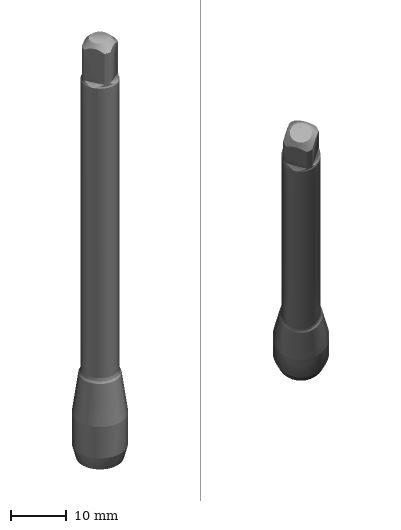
import cadquery as cq

total_length = 90.1

shank_radius = 7.0 / 2
drive_corner_radius = 6.72 / 2
drive_width = 5.5
drive_length = 8.0
drive_base_slope = 0.7
shank_edge_drop = 0.25
tip_radius = 4.0 / 2
tip_chamfer_height = drive_corner_radius - tip_radius

sleeve_radius = 10.15 / 2
sleeve_length = 19.1
sleeve_bottom_radius = 8.7 / 2
sleeve_bottom_height = 2.85
sleeve_barrel_top = 9.6
sleeve_taper_top = 18.1
sleeve_taper_top_radius = 7.8 / 2
sleeve_lip_height = 18.5
sleeve_lip_radius = 7.3 / 2
socket_floor = sleeve_bottom_height


def make_shank():
    """Round rod whose top end is milled to a square with rounded corners."""
    drive_base = total_length - drive_length
    shank_top = drive_base - drive_base_slope
    tip_base = total_length - tip_chamfer_height
    profile = (
        cq.Workplane("XZ")
        .polyline([
            (0, socket_floor),
            (shank_radius, socket_floor),
            (shank_radius, shank_top),
            (drive_corner_radius, shank_top + shank_edge_drop),
            (drive_corner_radius, tip_base),
            (tip_radius, total_length),
            (0, total_length),
        ])
        .close()
    )
    rod = profile.revolve(360, (0, 0, 0), (0, 1, 0))
    envelope_size = 2 * shank_radius
    lower = cq.Workplane("XY").rect(envelope_size, envelope_size).extrude(shank_top)
    slope = (
        cq.Workplane("XY")
        .workplane(offset=shank_top)
        .rect(envelope_size, envelope_size)
        .workplane(offset=drive_base_slope)
        .rect(drive_width, drive_width)
        .loft()
    )
    square = (
        cq.Workplane("XY")
        .workplane(offset=drive_base)
        .rect(drive_width, drive_width)
        .extrude(drive_length)
    )
    return rod.intersect(lower.union(slope).union(square))


def make_sleeve():
    """Tapered sleeve with a blind socket that holds the shank."""
    return (
        cq.Workplane("XZ")
        .moveTo(0, 0)
        .lineTo(sleeve_bottom_radius, 0)
        .lineTo(sleeve_radius, sleeve_bottom_height)
        .lineTo(sleeve_radius, sleeve_barrel_top)
        .lineTo(sleeve_taper_top_radius, sleeve_taper_top)
        .lineTo(sleeve_lip_radius, sleeve_lip_height)
        .lineTo(shank_radius, sleeve_length)
        .lineTo(shank_radius, socket_floor)
        .lineTo(0, socket_floor)
        .close()
        .revolve(360, (0, 0, 0), (0, 1, 0))
    )


shank = make_shank()
sleeve = make_sleeve()
result = cq.Compound.makeCompound([shank.val(), sleeve.val()])